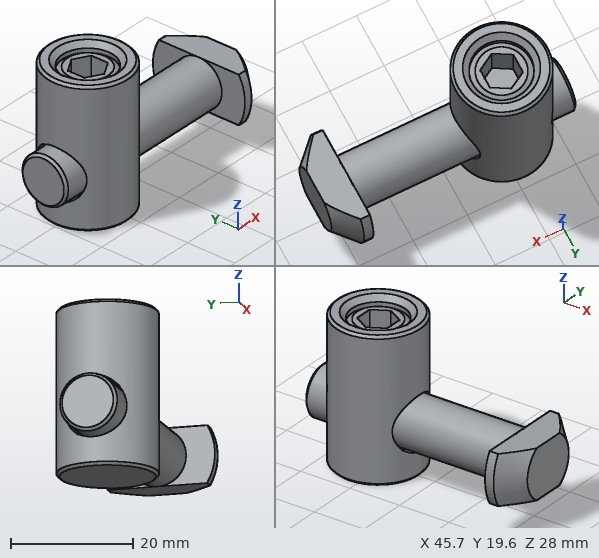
import cadquery as cq

BOLT_LENGTH = 45.7
SHANK_DIAMETER = 9.8
EDGE_CHAMFER = 0.5

HEAD_DIAMETER = 19.6
HEAD_THICKNESS = 5.7
HEAD_RIM = 1.75
HEAD_END_CHAMFER = HEAD_THICKNESS - HEAD_RIM

HOUSING_DIAMETER = 16.85
HOUSING_HEIGHT = 28.0
HOUSING_X = 11.42
BOLT_ABOVE_BASE = 10.0
CROSS_HOLE_DIAMETER = 10.5
BORE_DIAMETER = 10.65
COUNTERSINK = 1.05

SEAT_DEPTH = 0.35
SCREW_RECESS = 1.33
SCREW_CHAMFER_WIDTH = 1.0
SCREW_CHAMFER_HEIGHT = 0.6
HEX_ACROSS_FLATS = 6.1
HEX_DEPTH = 6.0

housing_base = -BOLT_ABOVE_BASE
housing_top = housing_base + HOUSING_HEIGHT
screw_bottom = SHANK_DIAMETER / 2 - SEAT_DEPTH
screw_top = housing_top - SCREW_RECESS


def x_cylinder(diameter, start, length):
    """Cylinder on the bolt axis, beginning at X = start."""
    return cq.Workplane("YZ", origin=(start, 0, 0)).circle(diameter / 2).extrude(length)


def housing_axis_plane(height):
    """Horizontal workplane centred on the housing axis."""
    return cq.Workplane("XY", origin=(HOUSING_X, 0, height))


def make_bolt():
    head_start = BOLT_LENGTH - HEAD_THICKNESS
    shank = x_cylinder(SHANK_DIAMETER, 0, head_start).faces("<X").chamfer(EDGE_CHAMFER)
    head = x_cylinder(HEAD_DIAMETER, head_start, HEAD_THICKNESS)
    head = head.faces(">X").chamfer(HEAD_END_CHAMFER)
    flats = cq.Workplane("XY").box(2 * BOLT_LENGTH, HEAD_DIAMETER, SHANK_DIAMETER)
    return shank.union(head.intersect(flats))


def make_housing():
    body = housing_axis_plane(housing_base).circle(HOUSING_DIAMETER / 2).extrude(HOUSING_HEIGHT)
    body = body.faces("|Z").chamfer(EDGE_CHAMFER)

    bore = housing_axis_plane(0).circle(BORE_DIAMETER / 2).extrude(housing_top)
    countersink = (
        housing_axis_plane(housing_top)
        .circle(BORE_DIAMETER / 2 + COUNTERSINK)
        .workplane(offset=-COUNTERSINK)
        .circle(BORE_DIAMETER / 2)
        .loft()
    )

    cross_hole = x_cylinder(
        CROSS_HOLE_DIAMETER, HOUSING_X - HOUSING_DIAMETER / 2, HOUSING_DIAMETER
    )
    return body.cut(bore).cut(countersink).cut(cross_hole)


def make_set_screw():
    radius = BORE_DIAMETER / 2
    end_radius = radius - SCREW_CHAMFER_WIDTH
    screw = (
        cq.Workplane("XZ", origin=(HOUSING_X, 0, 0))
        .moveTo(0, screw_bottom)
        .lineTo(end_radius, screw_bottom)
        .lineTo(radius, screw_bottom + SCREW_CHAMFER_HEIGHT)
        .lineTo(radius, screw_top - SCREW_CHAMFER_HEIGHT)
        .lineTo(end_radius, screw_top)
        .lineTo(0, screw_top)
        .close()
        .revolve(360, (0, 0, 0), (0, 1, 0))
    )
    socket = (
        housing_axis_plane(screw_top)
        .polygon(6, HEX_ACROSS_FLATS, circumscribed=True)
        .extrude(-HEX_DEPTH)
    )
    return screw.cut(socket)


set_screw = make_set_screw()
bolt = make_bolt().cut(set_screw)
housing = make_housing()

result = cq.Compound.makeCompound(
    [*bolt.solids().vals(), *housing.solids().vals(), *set_screw.solids().vals()]
)